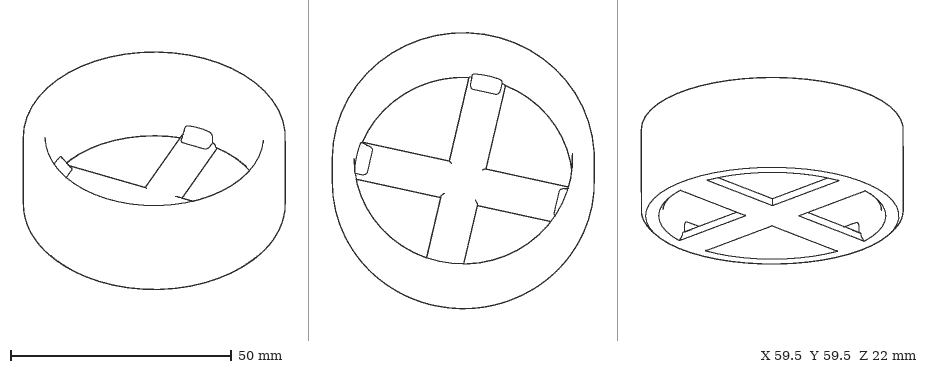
import cadquery as cq

outer_diameter = 59.5
inner_diameter = 49.5
height = 22.0
ring_fillet = 1.0
base_chamfer = 1.0

bar_width = 8.5
bar_height = 2.0
bar_edge_fillet = 0.8

stop_width = bar_width - 2 * bar_edge_fillet
stop_toe_radius = 21.7
stop_rise = 3.0
stop_edge_fillet = 0.9

inner_radius = inner_diameter / 2
wall_thickness = (outer_diameter - inner_diameter) / 2
embed_radius = inner_radius + wall_thickness / 2


def make_ring():
    ring = cq.Workplane("XY").circle(outer_diameter / 2).circle(inner_radius).extrude(height)
    ring = ring.faces("<Z").edges().chamfer(base_chamfer)
    softened_edges = ring.edges("%CIRCLE").edges("not <Z")
    return softened_edges.fillet(ring_fillet)


def make_cross():
    length = 2 * embed_radius
    bar = cq.Workplane("XY").box(length, bar_width, bar_height, centered=(True, True, False))
    cross_bar = bar.rotate((0, 0, 0), (0, 0, 1), 90)
    return bar.union(cross_bar).faces(">Z").edges().fillet(bar_edge_fillet)


def make_stop():
    """Wedge on the +X bar, rising to the bore wall, with rounded sides."""
    slope = stop_rise / (inner_radius - stop_toe_radius)
    foot_depth = bar_height / 2
    toe_x = stop_toe_radius - foot_depth / slope
    peak_z = bar_height + slope * (embed_radius - stop_toe_radius)
    profile = [
        (toe_x, bar_height - foot_depth),
        (embed_radius, bar_height - foot_depth),
        (embed_radius, peak_z),
    ]
    wedge = cq.Workplane("XZ").polyline(profile).close().extrude(stop_width / 2, both=True)
    sloped_side_edges = wedge.faces("<X").edges("not(#X)")
    return sloped_side_edges.fillet(stop_edge_fillet)


result = make_ring().union(make_cross())
stop = make_stop()
for quarter in range(4):
    result = result.union(stop.rotate((0, 0, 0), (0, 0, 1), 90 * quarter))